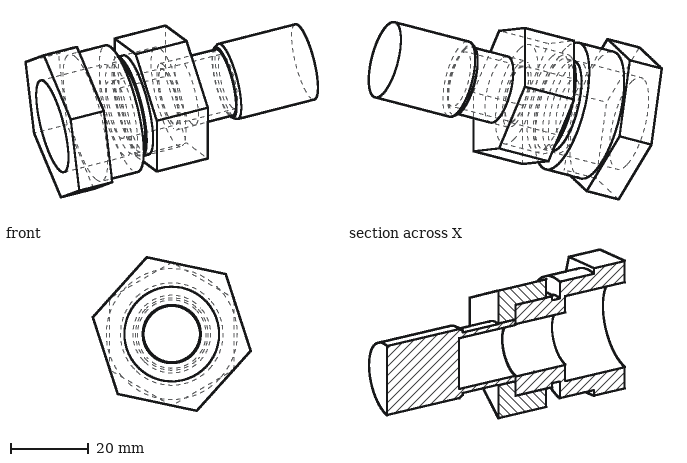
import cadquery as cq

socket_hex_end = 9.05
collar_end = 18.9
groove_end = 21.05
nut_start = 22.8
nut_end = 36.7
neck_end = 47.0
head_start = 48.0
overall_length = 69.0

socket_hex_across_corners = 41.55
socket_hex_turn = 12.0
collar_diameter = 33.7
groove_diameter = 24.0
spigot_diameter = 26.35
mouth_diameter = 24.35
mouth_depth = 17.25
passage_diameter = 15.0

nut_across_corners = 36.85
nut_turn = 90.0
nut_web = 5.0
spigot_end = nut_end - nut_web

neck_diameter = 17.6
head_diameter = 20.0
head_chamfer_diameter = 18.6
stem_bore_diameter = 14.5


def section_plane(y):
    """Plane across the axis: local X is global X, local Y is global Z, normal is -Y."""
    return cq.Workplane("XZ", origin=(0, y, 0))


def cylinder(diameter, start, end):
    return section_plane(start).circle(diameter / 2).extrude(start - end)


def hexagon(across_corners, turn, start, end):
    """Hexagonal prism with a corner turned from +X towards -Z."""
    prism = section_plane(start).polygon(6, across_corners).extrude(start - end)
    return prism.rotate((0, 0, 0), (0, 1, 0), turn)


def make_socket():
    body = hexagon(socket_hex_across_corners, socket_hex_turn, 0, socket_hex_end)
    body = body.union(cylinder(collar_diameter, socket_hex_end, collar_end))
    body = body.union(cylinder(groove_diameter, collar_end, groove_end))
    body = body.union(cylinder(spigot_diameter, groove_end, spigot_end))
    body = body.cut(cylinder(mouth_diameter, 0, mouth_depth))
    return body.cut(cylinder(passage_diameter, mouth_depth, spigot_end))


def make_nut():
    body = hexagon(nut_across_corners, nut_turn, nut_start, nut_end)
    body = body.cut(cylinder(spigot_diameter, nut_start, spigot_end))
    return body.cut(cylinder(neck_diameter, spigot_end, nut_end))


def make_stem():
    """Revolved stem whose neck butts against the end of the socket spigot."""
    profile = [
        (stem_bore_diameter / 2, spigot_end),
        (neck_diameter / 2, spigot_end),
        (neck_diameter / 2, neck_end),
        (head_chamfer_diameter / 2, neck_end),
        (head_diameter / 2, head_start),
        (head_diameter / 2, overall_length),
        (0, overall_length),
        (0, head_start),
        (stem_bore_diameter / 2, head_start),
    ]
    return cq.Workplane("XY").polyline(profile).close().revolve(360, (0, 0, 0), (0, 1, 0))


socket = make_socket()
nut = make_nut()
stem = make_stem()

result = cq.Compound.makeCompound([socket.val(), nut.val(), stem.val()])